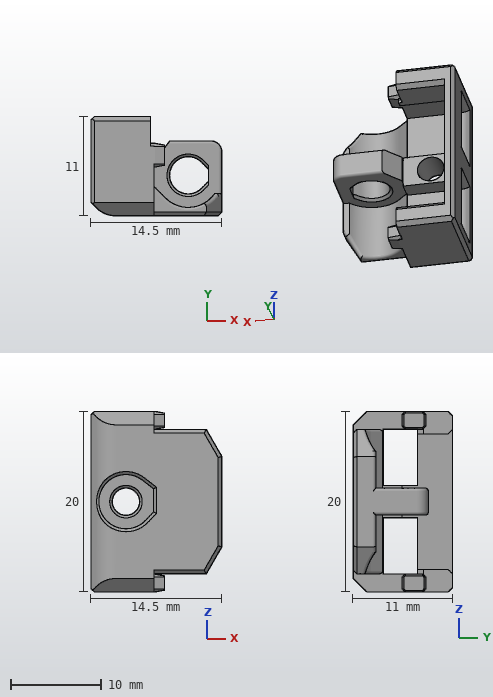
import cadquery as cq
import math

TOTAL_X = 14.5
TOTAL_Y = 11.0
TOTAL_Z = 20.0
HALF_Z = TOTAL_Z / 2

BLOCK_X = 7.0
BLOCK_BACK_X = 6.6
BLOCK_BACK_Y = 7.75
FRONT_BEVEL = 1.5
FRONT_BLEND_RADIUS = 3.0
WALL_BEVEL = 0.4
BACK_BEVEL = 0.5

WALL = 1.1
POCKET_FLOOR_Y = 5.4
POCKET_HALF_Z = 7.5
WINDOW_FRONT_Y = 3.33
WINDOW_BACK_Y = 7.1
WINDOW_NEAR_Z = 1.8
WINDOW_FAR_Z = 8.0
WINDOW_BEVEL = 0.5
WINDOW_BLEND_RADIUS = 0.75

PEG_Y = 6.72
PEG_Z = 9.0
PEG_HALF_Y = 1.32
PEG_HALF_Z = 1.0
PEG_CORNER = 0.36
PEG_TAPER = 0.2
PEG_ROOT_X = 7.1
PEG_TIP_X = 8.15

WING_Z = 8.0
WING_END_HALF_Z = 5.0
WING_END_ANGLE = 30.0
WING_Y = 2.5
WING_FRONT_BEVEL = 0.42
WING_BACK_ROUND = 0.33
WING_ROOT_X = 4.0

BORE_X = 10.77
BORE_Y = 4.49
CHANNEL_RADIUS = 3.55
CHANNEL_HALF_Z = 30.0
CHANNEL_ROUND = 0.32
BORE_RADIUS = 2.05
BORE_BEVEL = 0.3
BORE_FLAT = 2.23
LUG_HALF_Z = 1.5
LUG_Y = 8.31
LUG_CORNER_RADIUS = 1.24
LUG_ROUND = 0.35
LUG_SHOULDER_X = 8.74
LUG_SHOULDER_ANGLE = 52.0

SCREW_X = 3.88
SCREW_RADIUS = 1.5
SCREW_BEVEL = 0.3
RECESS_RADIUS = 3.0
RECESS_DEPTH = 1.0
RECESS_FLAT = 3.05
RECESS_FLAT_TOP = 1.43
RECESS_FLAT_BOTTOM = -1.15
RECESS_BEVEL = 0.33

SQRT_HALF = math.sqrt(0.5)
HALF_BEVEL_ANGLE = math.radians(22.5)
MARGIN = 0.01


def box(x0, x1, y0, y1, z0, z1):
    """Box between two opposite corners."""
    return cq.Workplane("XY").box(x1 - x0, y1 - y0, z1 - z0, centered=False).translate((x0, y0, z0))


def extrude_z(sketch, half_height):
    """Extrude an XY sketch equally to both sides of the middle."""
    return sketch.extrude(half_height, both=True)


def make_block():
    """Intersection of the three outlines of the block."""
    blend_tangent = FRONT_BLEND_RADIUS * math.tan(HALF_BEVEL_ANGLE)
    blend_start = FRONT_BEVEL - blend_tangent * SQRT_HALF
    blend_end = FRONT_BEVEL + blend_tangent
    blend_mid = (
        blend_end - FRONT_BLEND_RADIUS * math.sin(HALF_BEVEL_ANGLE),
        FRONT_BLEND_RADIUS * (1 - math.cos(HALF_BEVEL_ANGLE)),
    )
    plan = (
        cq.Workplane("XY")
        .moveTo(0, FRONT_BEVEL)
        .lineTo(blend_start, FRONT_BEVEL - blend_start)
        .threePointArc(blend_mid, (blend_end, 0))
        .lineTo(BLOCK_X, 0)
        .lineTo(BLOCK_X, BLOCK_BACK_Y)
        .lineTo(BLOCK_BACK_X, BLOCK_BACK_Y)
        .lineTo(BLOCK_BACK_X, TOTAL_Y)
        .lineTo(WALL_BEVEL, TOTAL_Y)
        .lineTo(0, TOTAL_Y - WALL_BEVEL)
        .close()
    )
    side = (
        cq.Workplane("YZ")
        .polyline([
            (0, FRONT_BEVEL - HALF_Z),
            (FRONT_BEVEL, -HALF_Z),
            (TOTAL_Y - BACK_BEVEL, -HALF_Z),
            (TOTAL_Y, BACK_BEVEL - HALF_Z),
            (TOTAL_Y, HALF_Z - BACK_BEVEL),
            (TOTAL_Y - BACK_BEVEL, HALF_Z),
            (FRONT_BEVEL, HALF_Z),
            (0, HALF_Z - FRONT_BEVEL),
        ])
        .close()
        .extrude(BLOCK_X)
    )
    front = box(0, BLOCK_X, 0, TOTAL_Y, -HALF_Z, HALF_Z).edges("<X and |Y").chamfer(WALL_BEVEL)
    return extrude_z(plan, HALF_Z).intersect(side).intersect(front)


def cut_window(body, z0, z1):
    """Window through the block, its mouth bevelled and blended on every side but the rear."""
    body = body.cut(box(0, BLOCK_X, WINDOW_FRONT_Y, WINDOW_BACK_Y, z0, z1))
    mouth = cq.selectors.BoxSelector(
        (-MARGIN, WINDOW_FRONT_Y - MARGIN, z0 - MARGIN),
        (MARGIN, WINDOW_BACK_Y - MARGIN, z1 + MARGIN),
    )
    rear = cq.selectors.BoxSelector(
        (-MARGIN, WINDOW_BACK_Y - MARGIN, z0 - MARGIN),
        (MARGIN, WINDOW_BACK_Y + MARGIN, z1 + MARGIN),
    )
    body = body.edges(mouth - rear).chamfer(WINDOW_BEVEL)
    throat = cq.selectors.BoxSelector(
        (WINDOW_BEVEL - MARGIN, WINDOW_FRONT_Y - MARGIN, z0 - MARGIN),
        (WINDOW_BEVEL + MARGIN, WINDOW_BACK_Y - MARGIN, z1 + MARGIN),
    )
    return body.edges(throat).fillet(WINDOW_BLEND_RADIUS)


def make_pocket():
    """Rear pocket, open towards +X and +Y, with bevelled ends at the rear face."""
    return (
        cq.Workplane("YZ", origin=(WALL, 0, 0))
        .polyline([
            (POCKET_FLOOR_Y, -POCKET_HALF_Z),
            (TOTAL_Y - BACK_BEVEL, -POCKET_HALF_Z),
            (TOTAL_Y, -POCKET_HALF_Z - BACK_BEVEL),
            (TOTAL_Y, POCKET_HALF_Z + BACK_BEVEL),
            (TOTAL_Y - BACK_BEVEL, POCKET_HALF_Z),
            (POCKET_FLOOR_Y, POCKET_HALF_Z),
        ])
        .close()
        .extrude(BLOCK_X - WALL)
    )


def add_peg_outline(plane, inset):
    """Rectangle with cut corners; the inset moves its sides in and leaves the flats as long."""
    flat_y = PEG_HALF_Y - PEG_CORNER
    flat_z = PEG_HALF_Z - PEG_CORNER
    half_y = PEG_HALF_Y - inset
    half_z = PEG_HALF_Z - inset
    return plane.polyline([
        (flat_y, half_z),
        (-flat_y, half_z),
        (-half_y, flat_z),
        (-half_y, -flat_z),
        (-flat_y, -half_z),
        (flat_y, -half_z),
        (half_y, -flat_z),
        (half_y, flat_z),
    ]).close()


def make_peg(z):
    """Straight root followed by a taper whose corner cuts shrink towards the tip."""
    root = add_peg_outline(cq.Workplane("YZ", origin=(BLOCK_BACK_X, PEG_Y, z)), 0)
    root = root.extrude(PEG_ROOT_X - BLOCK_BACK_X)
    taper = add_peg_outline(cq.Workplane("YZ", origin=(PEG_ROOT_X, PEG_Y, z)), 0)
    taper = taper.workplane(offset=PEG_TIP_X - PEG_ROOT_X)
    taper = add_peg_outline(taper, PEG_TAPER).loft(ruled=True)
    return root.union(taper)


def make_channel():
    """Round channel along Z whose -X side opens along a 45 degree tangent."""
    tangent_x = BORE_X - CHANNEL_RADIUS * SQRT_HALF
    tangent_y = BORE_Y - CHANNEL_RADIUS * SQRT_HALF
    outline = (
        cq.Workplane("XY")
        .moveTo(tangent_x, tangent_y)
        .threePointArc((BORE_X, BORE_Y - CHANNEL_RADIUS), (BORE_X + CHANNEL_RADIUS, BORE_Y))
        .lineTo(BLOCK_X, BORE_Y)
        .lineTo(BLOCK_X, tangent_y + tangent_x - BLOCK_X)
        .close()
    )
    return extrude_z(outline, CHANNEL_HALF_Z)


def make_wing():
    """Plate with sloping ends, hollowed along Z by the round channel."""
    slope = math.tan(math.radians(WING_END_ANGLE))
    corner_x = TOTAL_X - (WING_Z - WING_END_HALF_Z) * slope
    outline = (
        cq.Workplane("XZ")
        .polyline([
            (WING_ROOT_X, -WING_Z),
            (corner_x, -WING_Z),
            (TOTAL_X, -WING_END_HALF_Z),
            (TOTAL_X, WING_END_HALF_Z),
            (corner_x, WING_Z),
            (WING_ROOT_X, WING_Z),
        ])
        .close()
        .extrude(-TOTAL_Y)
        .faces("<Y")
        .chamfer(WING_FRONT_BEVEL)
    )
    tangent_sum = BORE_X + BORE_Y - 2 * CHANNEL_RADIUS * SQRT_HALF
    gusset_y = tangent_sum - BLOCK_X
    tall_z = WING_END_HALF_Z + (TOTAL_X - WING_ROOT_X) / slope
    section = (
        cq.Workplane("XY")
        .polyline([
            (WING_ROOT_X, 0),
            (TOTAL_X, 0),
            (TOTAL_X, WING_Y),
            (tangent_sum - WING_Y, WING_Y),
            (BLOCK_X, gusset_y),
            (WING_ROOT_X, gusset_y),
        ])
        .close()
    )
    section = extrude_z(section, tall_z).cut(make_channel())
    flat_ends = section.intersect(box(WING_ROOT_X, TOTAL_X, 0, TOTAL_Y, -WING_Z, WING_Z))
    flat_ends = flat_ends.edges("%CIRCLE").fillet(CHANNEL_ROUND)
    wedge = (
        cq.Workplane("XZ")
        .polyline([
            (WING_ROOT_X, -tall_z),
            (TOTAL_X, -WING_END_HALF_Z),
            (TOTAL_X, WING_END_HALF_Z),
            (WING_ROOT_X, tall_z),
        ])
        .close()
        .extrude(-TOTAL_Y)
    )
    sloping_ends = section.intersect(wedge).edges("%ELLIPSE").fillet(CHANNEL_ROUND)
    plate_zone = box(WING_ROOT_X, TOTAL_X, 0, WING_Y, -tall_z, tall_z)
    rounded_plate = wedge.intersect(plate_zone).faces(">Y").edges("not <X").fillet(WING_BACK_ROUND)
    gusset_zone = box(WING_ROOT_X, BORE_X, 0, gusset_y, -WING_Z, WING_Z)
    rounded_back = rounded_plate.union(gusset_zone)
    return outline.intersect(flat_ends).intersect(sloping_ends).intersect(rounded_back)


def teardrop(plane, radius, flat):
    """Circle with 45 degree tangents towards +X, cut off by a flat."""
    tangent = radius * SQRT_HALF
    flat_half = 2 * tangent - flat
    return (
        plane.moveTo(flat, -flat_half)
        .lineTo(flat, flat_half)
        .lineTo(tangent, tangent)
        .threePointArc((-radius, 0), (tangent, -tangent))
        .close()
    )


def make_lug():
    """Cross lug that bridges the channel, before its bore is cut."""
    step = (LUG_SHOULDER_X - BLOCK_X) * math.tan(math.radians(LUG_SHOULDER_ANGLE))
    lug = extrude_z(
        cq.Workplane("XY").polyline([
            (BLOCK_X, WING_FRONT_BEVEL),
            (TOTAL_X, WING_FRONT_BEVEL),
            (TOTAL_X, LUG_Y),
            (LUG_SHOULDER_X, LUG_Y),
            (BLOCK_X, LUG_Y - step),
        ]).close(),
        LUG_HALF_Z,
    )
    lug = lug.edges(">X and >Y").fillet(LUG_CORNER_RADIUS)
    return lug.faces(">Y").edges("|X").fillet(LUG_ROUND)


def cut_bore(lug):
    """Teardrop bore through the lug, its mouths bevelled everywhere but on the flat."""
    bore_plane = cq.Workplane("XY").center(BORE_X, BORE_Y)
    lug = lug.cut(extrude_z(teardrop(bore_plane, BORE_RADIUS, BORE_FLAT), LUG_HALF_Z))
    for side in (-1, 1):
        mouth = cq.selectors.BoxSelector(
            (BORE_X - BORE_RADIUS, BORE_Y - BORE_RADIUS, side * LUG_HALF_Z - BORE_BEVEL),
            (BORE_X + BORE_FLAT - MARGIN, BORE_Y + BORE_RADIUS, side * LUG_HALF_Z + BORE_BEVEL),
        )
        lug = lug.edges(mouth).edges("%CIRCLE").chamfer(BORE_BEVEL)
    return lug


def tangent_point(radius, x, z, side):
    """Point where the line from (x, z) touches a circle about the origin."""
    angle = math.atan2(z, x) + side * math.acos(radius / math.hypot(x, z))
    return radius * math.cos(angle), radius * math.sin(angle)


def recess_outline(plane):
    """Circle joined by tangents to a flat at +X."""
    radius = RECESS_RADIUS
    flat = RECESS_FLAT
    top = RECESS_FLAT_TOP
    bottom = RECESS_FLAT_BOTTOM
    return (
        plane.moveTo(flat, bottom)
        .lineTo(flat, top)
        .lineTo(*tangent_point(radius, flat, top, 1))
        .threePointArc((-radius, 0), tangent_point(radius, flat, bottom, -1))
        .close()
    )


def cut_screw_hole(body):
    """Through hole, countersunk into the floor of a bevelled D-shaped recess."""
    front = cq.Workplane("XZ", origin=(SCREW_X, 0, 0))
    body = body.cut(recess_outline(front).extrude(-RECESS_DEPTH))
    reach = RECESS_RADIUS + RECESS_BEVEL
    body = body.edges(
        cq.selectors.BoxSelector(
            (SCREW_X - reach, -RECESS_BEVEL, -reach), (SCREW_X + reach, RECESS_DEPTH - MARGIN, reach)
        )
    ).edges("not |Y").chamfer(RECESS_BEVEL)
    countersink = (
        cq.Workplane("XZ", origin=(SCREW_X, RECESS_DEPTH, 0))
        .circle(SCREW_RADIUS + SCREW_BEVEL)
        .workplane(offset=-SCREW_BEVEL)
        .circle(SCREW_RADIUS)
        .loft()
    )
    hole = front.circle(SCREW_RADIUS).extrude(-TOTAL_Y)
    return body.cut(hole.union(countersink))


body = make_block()
body = cut_window(body, WINDOW_NEAR_Z, WINDOW_FAR_Z)
body = cut_window(body, -WINDOW_FAR_Z, -WINDOW_NEAR_Z)
body = body.cut(make_pocket())
body = body.union(make_wing()).union(cut_bore(make_lug()))
for peg_z in (-PEG_Z, PEG_Z):
    body = body.union(make_peg(peg_z))
result = cut_screw_hole(body)